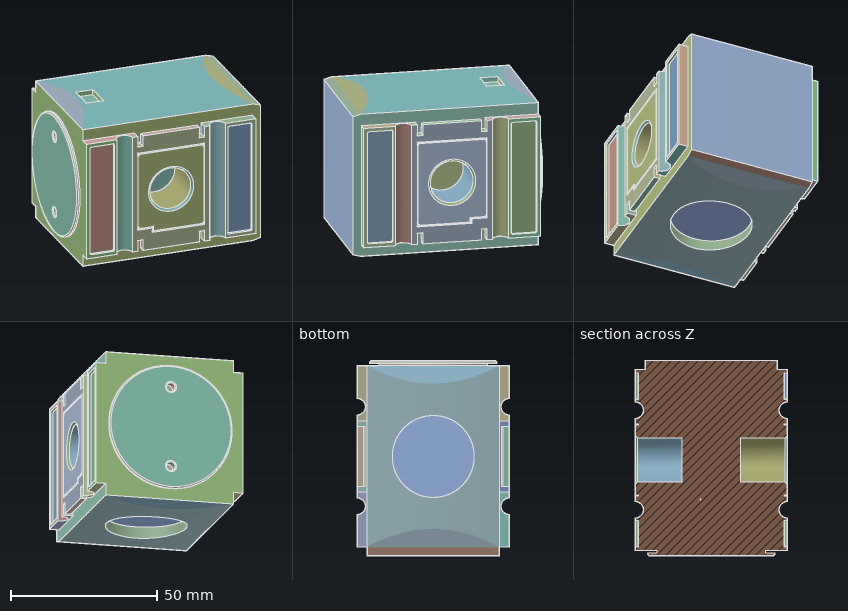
import cadquery as cq

BODY_WIDTH = 45.2
BODY_LENGTH = 62.0
EDGE_HEIGHT = 50.8
CROWN_HEIGHT = 54.18
END_SLOPE_LENGTH = 6.2
OVERALL_WIDTH = 52.0

HALF_WIDTH = BODY_WIDTH / 2
HALF_LENGTH = BODY_LENGTH / 2
HALF_EDGE = EDGE_HEIGHT / 2
HALF_CROWN = CROWN_HEIGHT / 2
HALF_OVERALL = OVERALL_WIDTH / 2
SIDES = (-1, 1)

CAP_LENGTH = 3.0
CAP_LAND = 0.25
END_SLOPE = (HALF_CROWN - HALF_EDGE) / END_SLOPE_LENGTH

PAD_HEIGHT = 42.6
PAD_THICKNESS = HALF_OVERALL - HALF_WIDTH
GROOVE_RADIUS = 2.8
GROOVE_OFFSET = 17.0
PANEL_LENGTH = 8.9
PANEL_HEIGHT = 40.0
PANEL_OFFSET = 25.2
PANEL_DEPTH = 1.0
PANEL_CORNER = 0.6

CLIP_DEPTH = 3.9
CLIP_OPENING = 24.4
HOOK_LENGTH = 20.6
HOOK_TIP_THICKNESS = 2.1
HOOK_ROOT_THICKNESS = 2.7

PLATE_RECESS_LENGTH = 24.4
PLATE_RECESS_HALF_HEIGHT = 15.1
PLATE_GAP = 0.5
PLATE_SIDE_GAP = 0.15
PLATE_CORNER = 1.0
PLATE_STEP_Y = -6.9
PLATE_STEP_HEIGHT = 1.6
JOINT_DEPTH = 1.0

PORT_DIAMETER = 14.95
PORT_MOUTH_DIAMETER = 16.5
PORT_DEPTH = 16.0

NECK_DIAMETER = 37.2
NECK_LENGTH = 0.7
COVER_DIAMETER = 43.5
COVER_THICKNESS = 1.1
COVER_CHAMFER = 0.5
PIN_HOLE_DIAMETER = 3.2
PIN_HOLE_MOUTH_DIAMETER = 3.9
PIN_HOLE_SPACING = 28.0
PIN_HOLE_DEPTH = 4.0

WINDOW_WIDTH = 10.1
WINDOW_LENGTH = 6.2
WINDOW_Y = -19.9
WINDOW_DEPTH = 1.9
BOTTOM_OPENING_DIAMETER = 28.0
BOTTOM_OPENING_DEPTH = 4.0


def make_body():
    """Domed cross-section trimmed by the side profile with its sloped ends and cap."""
    back = HALF_LENGTH + CAP_LENGTH
    section = (
        cq.Workplane("XZ", origin=(0, back, 0))
        .moveTo(-HALF_WIDTH, -HALF_EDGE)
        .threePointArc((0, -HALF_CROWN), (HALF_WIDTH, -HALF_EDGE))
        .lineTo(HALF_WIDTH, HALF_EDGE)
        .threePointArc((0, HALF_CROWN), (-HALF_WIDTH, HALF_EDGE))
        .close()
        .extrude(BODY_LENGTH + CAP_LENGTH)
    )
    land_end = HALF_LENGTH + CAP_LAND
    cap_edge = HALF_EDGE - END_SLOPE * (CAP_LENGTH - CAP_LAND)
    crown_end = HALF_LENGTH - END_SLOPE_LENGTH
    upper_profile = [
        (-HALF_LENGTH, HALF_EDGE),
        (-crown_end, HALF_CROWN),
        (crown_end, HALF_CROWN),
        (HALF_LENGTH, HALF_EDGE),
        (land_end, HALF_EDGE),
        (back, cap_edge),
    ]
    lower_profile = [(y, -z) for y, z in reversed(upper_profile)]
    side_profile = (
        cq.Workplane("YZ")
        .polyline(upper_profile + lower_profile)
        .close()
        .extrude(HALF_WIDTH, both=True)
    )
    return section.intersect(side_profile)


def make_clip_cutter(end):
    """Opening in the pad's top (end=1) or bottom (end=-1) edge, less its hook."""
    pad_edge = end * PAD_HEIGHT / 2
    floor = pad_edge - end * CLIP_DEPTH
    opening = cq.Workplane("XY").box(PAD_THICKNESS, CLIP_OPENING, CLIP_DEPTH).translate(
        (-HALF_WIDTH - PAD_THICKNESS / 2, 0, (pad_edge + floor) / 2)
    )
    hook = (
        cq.Workplane("XZ")
        .polyline([
            (-HALF_OVERALL, floor),
            (-HALF_OVERALL, pad_edge),
            (-HALF_OVERALL + HOOK_TIP_THICKNESS, pad_edge),
            (-HALF_OVERALL + HOOK_ROOT_THICKNESS, floor),
        ])
        .close()
        .extrude(HOOK_LENGTH / 2, both=True)
    )
    return opening.cut(hook)


def make_plate_outline(front, back, bottom, top, step_y):
    """Slab of joint depth at the left pad face, stepped at its lower front corner."""
    step_z = bottom + PLATE_STEP_HEIGHT
    return (
        cq.Workplane("YZ", origin=(-HALF_OVERALL, 0, 0))
        .polyline([
            (front, top),
            (back, top),
            (back, bottom),
            (step_y, bottom),
            (step_y, step_z),
            (front, step_z),
        ])
        .close()
        .extrude(JOINT_DEPTH)
    )


def make_plate_joint():
    half_length = PLATE_RECESS_LENGTH / 2
    half_height = PLATE_RECESS_HALF_HEIGHT
    recess = make_plate_outline(-half_length, half_length, -half_height, half_height, PLATE_STEP_Y)
    plate = make_plate_outline(
        -half_length + PLATE_SIDE_GAP,
        half_length - PLATE_SIDE_GAP,
        -half_height + PLATE_GAP,
        half_height - PLATE_GAP,
        PLATE_STEP_Y + PLATE_GAP,
    )
    rounded_edges = plate.edges("|X and (>Y or <Y)")
    return recess.cut(rounded_edges.fillet(PLATE_CORNER))


def make_left_pad():
    pad = cq.Workplane("XY").box(PAD_THICKNESS, BODY_LENGTH, PAD_HEIGHT).translate(
        (-HALF_WIDTH - PAD_THICKNESS / 2, 0, 0)
    )
    for end in SIDES:
        groove = (
            cq.Workplane("XY", origin=(-HALF_OVERALL, end * GROOVE_OFFSET, 0))
            .circle(GROOVE_RADIUS)
            .extrude(PAD_HEIGHT, both=True)
        )
        panel = (
            cq.Workplane("YZ", origin=(-HALF_OVERALL, end * PANEL_OFFSET, 0))
            .rect(PANEL_LENGTH, PANEL_HEIGHT)
            .extrude(PANEL_DEPTH)
            .edges("|X")
            .fillet(PANEL_CORNER)
        )
        pad = pad.cut(groove).cut(panel).cut(make_clip_cutter(end))
    return pad.cut(make_plate_joint())


def make_countersunk_bore(diameter, mouth_diameter, depth):
    """Blind bore along +Z from the origin with a 45 degree mouth."""
    mouth_depth = (mouth_diameter - diameter) / 2
    return (
        cq.Workplane("XZ")
        .polyline([
            (0, 0),
            (mouth_diameter / 2, 0),
            (diameter / 2, mouth_depth),
            (diameter / 2, depth),
            (0, depth),
        ])
        .close()
        .revolve(360, (0, 0, 0), (0, 1, 0))
    )


def make_left_port():
    bore = make_countersunk_bore(PORT_DIAMETER, PORT_MOUTH_DIAMETER, PORT_DEPTH)
    return bore.rotate((0, 0, 0), (0, 1, 0), 90).translate((-HALF_OVERALL, 0, 0))


def make_front_cover():
    neck = cq.Workplane("XZ", origin=(0, -HALF_LENGTH, 0)).circle(NECK_DIAMETER / 2).extrude(NECK_LENGTH)
    cover = (
        cq.Workplane("XZ", origin=(0, -HALF_LENGTH - NECK_LENGTH, 0))
        .circle(COVER_DIAMETER / 2)
        .extrude(COVER_THICKNESS)
        .faces("<Y")
        .chamfer(COVER_CHAMFER)
    )
    return neck.union(cover)


def make_pin_hole(end):
    front = -HALF_LENGTH - NECK_LENGTH - COVER_THICKNESS
    bore = make_countersunk_bore(PIN_HOLE_DIAMETER, PIN_HOLE_MOUTH_DIAMETER, PIN_HOLE_DEPTH)
    return bore.rotate((0, 0, 0), (1, 0, 0), -90).translate((0, front, end * PIN_HOLE_SPACING / 2))


def make_window():
    return (
        cq.Workplane("XY", origin=(0, WINDOW_Y, HALF_CROWN - WINDOW_DEPTH))
        .rect(WINDOW_WIDTH, WINDOW_LENGTH)
        .extrude(WINDOW_DEPTH)
    )


def make_bottom_opening():
    return (
        cq.Workplane("XY", origin=(0, 0, -HALF_CROWN))
        .circle(BOTTOM_OPENING_DIAMETER / 2)
        .extrude(BOTTOM_OPENING_DEPTH)
    )


left_pad = make_left_pad()
left_port = make_left_port()

result = make_body().union(make_front_cover())
result = result.union(left_pad).union(left_pad.mirror("YZ"))
result = result.cut(left_port).cut(left_port.mirror("YZ"))
for end in SIDES:
    result = result.cut(make_pin_hole(end))
result = result.cut(make_window()).cut(make_bottom_opening())